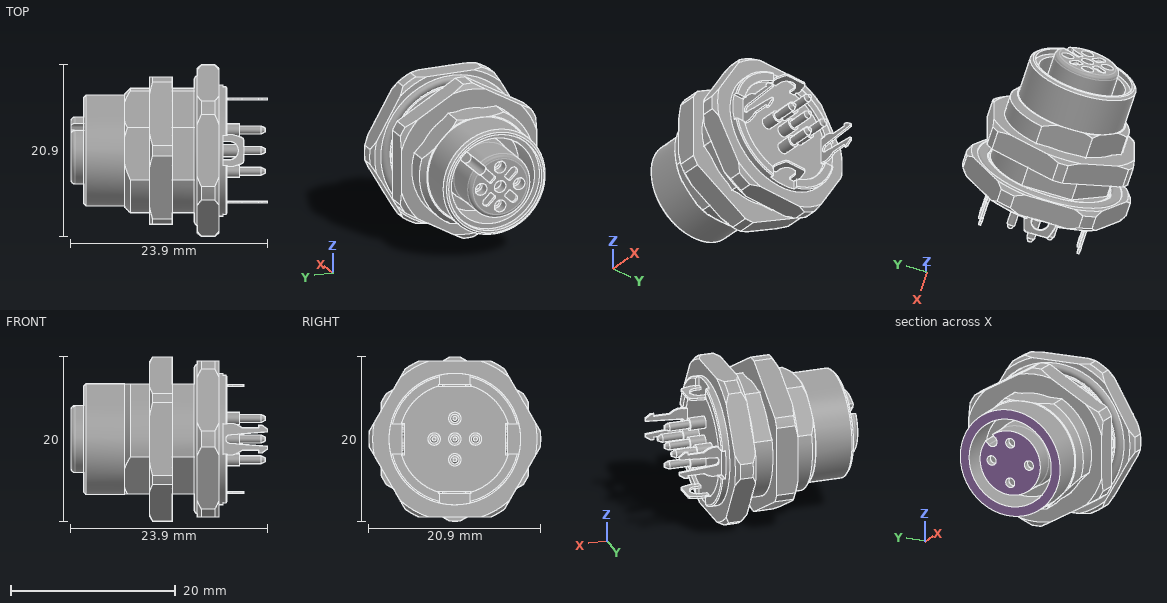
import cadquery as cq
import math


sleeve_front = 1.53
barrel_start = 6.52
nut_front = 9.54
nut_back = 12.3
flange_front = 15.32
flange_back = 18.0
rear_floor = 18.5
collar_end = 18.95
collar_chamfer_length = 0.12
stub_end = 20.48
pin_end = 23.61
fork_end = 23.9

sleeve_diameter = 13.5
sleeve_chamfer = 0.3
mouth_diameter = 12.3
mouth_depth = 0.7
socket_diameter = 11.0
socket_floor = 7.17

barrel_diameter = 15.18
barrel_chamfer = 0.7
flat_distance = 6.7
flat_angles = (45, 90, 225, 270)

insert_diameter = 8.17
insert_fillet = 0.5
insert_base_diameter = 8.45
insert_base_front = 4.78
keyway_width = 1.25
keyway_bottom = 2.8
slot_width = 1.03
slot_inner = 1.27
slot_outer = 2.99
slot_inner_fillet = 0.2
slot_outer_fillet = 0.45
slot_depth = 0.38
diagonal_angles = (45, 135, 225, 315)
key_angle = 315

contact_offset = 2.5
contact_hole_diameter = 1.5
contact_hole_depth = 1.43
contact_bore_diameter = 1.15
contact_bore_depth = 1.91
stub_diameter = 1.5
pin_diameter = 1.0
pin_tip_diameter = 0.48
pin_tip_length = 0.53
quarter_angles = (0, 90, 180, 270)

flange_across_flats = 18.98
flange_corner_diameter = 20.9
flange_chamfer_length = 0.53
flange_chamfer_height = 0.45
ring_radius = 8.53
ring_section_radius = 0.65
ring_front = 14.95
groove_inner_radius = 7.77
groove_outer_radius = 9.2
groove_depth = 0.48
collar_diameter = 16.0
collar_lip_diameter = 15.6
collar_bore_diameter = 13.5
notch_width = 3.68

clip_thickness = 0.26
clip_root = 0.25
clip_step = 19.07

fork_offset = 6.25
fork_half_width = 1.91
fork_taper_start = 19.67
fork_taper_middle = (20.27, 1.72)
prong_start = 20.8
prong_outer = 1.39
barb_start = 22.8
barb_crest_end = 23.2
barb_outer = 1.7
prong_tip_outer = 1.22
prong_tip_inner = 0.85
fork_slot_tip = 18.8
fork_slot_half_width = 0.5
fork_slot_straight_start = 19.17

loop_offset = 6.5
loop_half_width = 1.95
loop_taper_start = 19.6
loop_taper_end = (20.65, 1.65)
loop_corner = (20.91, 1.5)
loop_end = 21.0
loop_end_half_width = 1.3
loop_hole_radius = 1.1
loop_hole_tip = 20.35

nut_across_flats = 17.9
nut_corner_diameter = 19.98
nut_chamfer_length = 0.38
nut_chamfer_height = 0.65
nut_bore_diameter = 13.86


def revolved(profile):
    """Turn a closed list of (x, radius) points about the X axis."""
    return cq.Workplane("XY").polyline(profile).close().revolve(360, (0, 0, 0), (1, 0, 0))


def cylinder(x_start, x_end, diameter, z=0):
    plane = cq.Workplane("YZ", origin=(x_start, 0, z))
    return plane.circle(diameter / 2).extrude(x_end - x_start)


def about_axis(shape, angle):
    return shape.rotate((0, 0, 0), (1, 0, 0), angle)


def hexagon(x_start, x_end, across_flats):
    """Hexagonal prism with two corners on the Y axis."""
    across_corners = across_flats / math.cos(math.pi / 6)
    return cq.Workplane("YZ", origin=(x_start, 0, 0)).polygon(6, across_corners).extrude(x_end - x_start)


def make_barrel():
    radius = barrel_diameter / 2
    barrel = revolved([
        (barrel_start, 0),
        (barrel_start, radius - barrel_chamfer),
        (barrel_start + barrel_chamfer, radius),
        (flange_front, radius),
        (flange_front, 0),
    ])
    length = flange_front - barrel_start
    for angle in flat_angles:
        cutter = cq.Workplane("XY").box(length, barrel_diameter, radius, centered=(False, True, False))
        cutter = cutter.translate((barrel_start, 0, flat_distance))
        barrel = barrel.cut(about_axis(cutter, angle - 90))
    return barrel


def make_sleeve():
    radius = sleeve_diameter / 2
    return revolved([
        (sleeve_front, 0),
        (sleeve_front, radius - sleeve_chamfer),
        (sleeve_front + sleeve_chamfer, radius),
        (barrel_start, radius),
        (barrel_start, 0),
    ])


def make_socket():
    mouth_end = sleeve_front + mouth_depth
    return cylinder(sleeve_front, mouth_end, mouth_diameter).union(
        cylinder(mouth_end, socket_floor, socket_diameter)
    )


def make_keyway():
    """Round-bottomed groove along the top of the insert."""
    height = insert_diameter / 2
    bottom_centre = keyway_bottom + keyway_width / 2
    floor = cylinder(0, insert_base_front, keyway_width, z=bottom_centre)
    walls = cq.Workplane("XY").box(insert_base_front, keyway_width, height, centered=(False, True, False))
    return floor.union(walls.translate((0, 0, bottom_centre)))


def make_face_slot(outer_end):
    """Shallow pocket in the mating face, pointing to +Z."""
    slot = cq.Workplane("XY").box(
        slot_depth, slot_width, outer_end - slot_inner, centered=(False, True, False)
    )
    slot = slot.edges("|X and <Z").fillet(slot_inner_fillet)
    slot = slot.edges("|X and >Z").fillet(slot_outer_fillet)
    return slot.translate((0, 0, slot_inner))


def make_contact_hole():
    """Insert hole that ends in the tapered mouth of a socket contact."""
    radius = contact_hole_diameter / 2
    bore_radius = contact_bore_diameter / 2
    return revolved([
        (0, 0),
        (0, radius),
        (contact_hole_depth, radius),
        (contact_hole_depth + radius - bore_radius, bore_radius),
        (contact_hole_depth + contact_bore_depth, bore_radius),
        (contact_hole_depth + contact_bore_depth, 0),
    ])


def make_insert_base():
    """Slightly flared root of the insert, beyond the end of the keyway."""
    return revolved([
        (insert_base_front, 0),
        (insert_base_front, insert_diameter / 2),
        (socket_floor, insert_base_diameter / 2),
        (socket_floor, 0),
    ])


def make_insert():
    insert = cylinder(0, socket_floor, insert_diameter).faces("<X").edges().fillet(insert_fillet)
    insert = insert.union(make_insert_base())
    insert = insert.cut(about_axis(make_keyway(), key_angle))
    for angle in diagonal_angles:
        outer_end = keyway_bottom + keyway_width / 2 if angle == key_angle else slot_outer
        insert = insert.cut(about_axis(make_face_slot(outer_end), angle))
    for angle in quarter_angles:
        hole = make_contact_hole().translate((0, 0, contact_offset))
        insert = insert.cut(about_axis(hole, angle))
    return insert.cut(cylinder(0, contact_hole_depth, contact_hole_diameter))


def make_flange():
    radius = flange_corner_diameter / 2
    small_radius = radius - flange_chamfer_height
    envelope = revolved([
        (flange_front, 0),
        (flange_front, small_radius),
        (flange_front + flange_chamfer_length, radius),
        (flange_back - flange_chamfer_length, radius),
        (flange_back, small_radius),
        (flange_back, 0),
    ])
    return hexagon(flange_front, flange_back, flange_across_flats).intersect(envelope)


def make_ring_groove():
    groove = cylinder(flange_front, flange_front + groove_depth, 2 * groove_outer_radius)
    return groove.cut(cylinder(flange_front, flange_front + groove_depth, 2 * groove_inner_radius))


def make_sealing_ring():
    centre = cq.Vector(ring_front + ring_section_radius, 0, 0)
    ring = cq.Solid.makeTorus(ring_radius, ring_section_radius, centre, cq.Vector(1, 0, 0))
    return cq.Workplane("XY").add(ring)


def make_collar():
    """Rear collar, hollow behind the floor and notched for the four clips."""
    radius = collar_diameter / 2
    lip_radius = collar_lip_diameter / 2
    collar = revolved([
        (flange_back, 0),
        (flange_back, radius),
        (collar_end - collar_chamfer_length, radius),
        (collar_end, lip_radius),
        (collar_end, 0),
    ])
    height = collar_end - rear_floor
    collar = collar.cut(cylinder(rear_floor, collar_end, collar_bore_diameter))
    for span in ((collar_diameter, notch_width), (notch_width, collar_diameter)):
        notch = cq.Workplane("YZ", origin=(rear_floor, 0, 0)).rect(*span).extrude(height)
        collar = collar.cut(notch)
    return collar


def make_pin():
    radius = pin_diameter / 2
    stub = cylinder(flange_back, stub_end, stub_diameter)
    pin = revolved([
        (stub_end, 0),
        (stub_end, radius),
        (pin_end - pin_tip_length, radius),
        (pin_end, pin_tip_diameter / 2),
        (pin_end, 0),
    ])
    return stub.union(pin)


def mirrored(points):
    """Reverse a half outline and reflect it to the other side of its X axis."""
    return [(x, -side) for x, side in reversed(points)]


def make_fork():
    """Two-pronged snap-in clip with barbed tips, flat in the XZ plane."""
    prong = [
        (rear_floor - clip_root, notch_width / 2),
        (collar_end, notch_width / 2),
        (clip_step, fork_half_width),
        (fork_taper_start, fork_half_width),
        fork_taper_middle,
        (prong_start, prong_outer),
        (barb_start, prong_outer),
        (barb_start, barb_outer),
        (barb_crest_end, barb_outer),
        (fork_end, prong_tip_outer),
        (fork_end, prong_tip_inner),
        (fork_slot_straight_start, fork_slot_half_width),
    ]
    slot_tip = (fork_slot_tip, 0)
    other_prong = mirrored(prong)
    outline = cq.Workplane("XZ").polyline(prong).threePointArc(slot_tip, other_prong[0])
    for point in other_prong[1:]:
        outline = outline.lineTo(*point)
    return outline.close().extrude(clip_thickness / 2, both=True)


def make_loop():
    """Eyelet clip, flat in the XY plane."""
    shoulder = [
        (rear_floor - clip_root, notch_width / 2),
        (collar_end, notch_width / 2),
        (clip_step, loop_half_width),
        (loop_taper_start, loop_half_width),
        loop_taper_end,
        loop_corner,
        (loop_end, loop_end_half_width),
    ]
    loop = cq.Workplane("XY").polyline(shoulder + mirrored(shoulder)).close()
    loop = loop.extrude(clip_thickness / 2, both=True)
    hole_centre = loop_hole_tip - loop_hole_radius
    hole = cq.Workplane("XY").circle(loop_hole_radius).extrude(clip_thickness, both=True)
    hole = hole.translate((hole_centre, 0, 0))
    throat = cq.Workplane("XY").box(
        hole_centre - rear_floor, 2 * loop_hole_radius, clip_thickness, centered=(False, True, True)
    )
    return loop.cut(hole).cut(throat.translate((rear_floor, 0, 0)))


def make_connector(barrel):
    connector = make_sleeve().union(barrel)
    connector = connector.cut(make_socket()).union(make_insert())
    connector = connector.union(make_flange().cut(make_ring_groove())).union(make_collar())
    connector = connector.union(make_sealing_ring()).union(make_pin())
    for angle in quarter_angles:
        pin = make_pin().translate((0, 0, contact_offset))
        connector = connector.union(about_axis(pin, angle))
    for side in (-1, 1):
        connector = connector.union(make_fork().translate((0, side * fork_offset, 0)))
        connector = connector.union(make_loop().translate((0, 0, side * loop_offset)))
    return connector


def make_nut(barrel):
    """Hex nut, one side chamfered, with a bore that also fits the barrel's section."""
    radius = nut_corner_diameter / 2
    envelope = revolved([
        (nut_front, 0),
        (nut_front, radius - nut_chamfer_height),
        (nut_front + nut_chamfer_length, radius),
        (nut_back, radius),
        (nut_back, 0),
    ])
    prism = about_axis(hexagon(nut_front, nut_back, nut_across_flats), 90)
    nut = prism.intersect(envelope)
    return nut.cut(cylinder(nut_front, nut_back, nut_bore_diameter)).cut(barrel)


barrel = make_barrel()
connector = make_connector(barrel)
nut = make_nut(barrel)

result = cq.Compound.makeCompound([connector.solids().val(), nut.solids().val()])